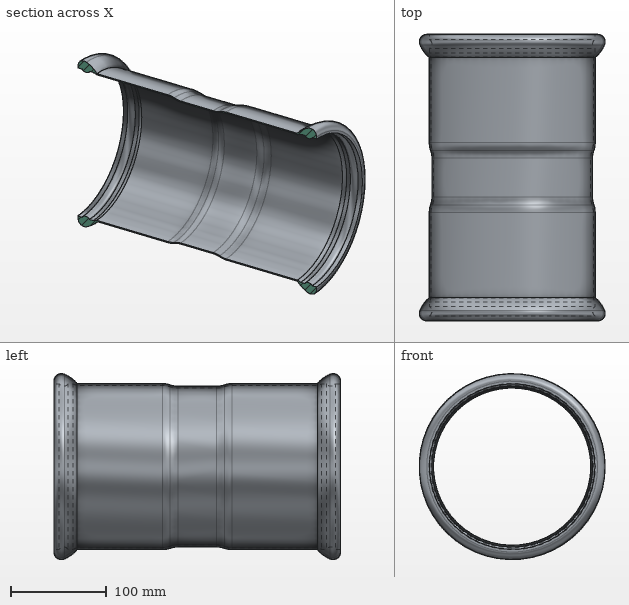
import math

import cadquery as cq

length = 300.0
outer_radius = 194.7 / 2
wall = 1.95

socket_radius = 174.0 / 2
neck_radius = 168.3 / 2
neck_half_length = 20.5
step_length = 16.2

mouth_radius = 173.0 / 2
bead_radius = 16.0 / 2
bead_length = 24.3
flare_start_angle = 23.0
mouth_depth = 19.8
mouth_taper_length = 4.2

seal_bore_radius = 168.3 / 2
seal_section_radius = 6.0
seal_depth = 10.2

half_length = length / 2
bead_center_r = outer_radius - bead_radius
bead_center_y = half_length - bead_radius
step_end = neck_half_length + step_length


def bead_point(angle):
    """Point on the bead section; angle in degrees above the radial direction."""
    turn = math.radians(angle)
    radius = bead_center_r + bead_radius * math.cos(turn)
    return (radius, bead_center_y + bead_radius * math.sin(turn))


def neck_to_socket(inset):
    """Profile from the end of the neck to the socket, moved inward by inset."""
    neck = neck_radius - inset
    socket = socket_radius - inset
    step_middle = ((neck + socket) / 2, (neck_half_length + step_end) / 2)
    rise = step_middle[0] - neck
    run = step_length / 2
    chord_angle = math.atan2(rise, run)
    step_sagitta = math.hypot(rise, run) / 2 * math.tan(chord_angle / 2)
    return (
        cq.Workplane("XY")
        .moveTo(0, neck_half_length)
        .lineTo(neck, neck_half_length)
        .sagittaArc(step_middle, step_sagitta)
        .tangentArcPoint((socket, step_end), relative=False)
    )


def revolved(profile):
    return profile.close().revolve(360, (0, 0, 0), (0, 1, 0))


def outer_body():
    profile = (
        neck_to_socket(0)
        .lineTo(socket_radius, half_length - bead_length)
        .lineTo(0, half_length - bead_length)
    )
    bead = (
        cq.Workplane("XY")
        .moveTo(0, half_length)
        .lineTo(bead_center_r, half_length)
        .threePointArc(bead_point(45), bead_point(-flare_start_angle))
        .tangentArcPoint((socket_radius, half_length - bead_length), relative=False)
        .lineTo(0, half_length - bead_length)
    )
    return revolved(profile).union(revolved(bead))


def bore():
    mouth_start = half_length - mouth_depth
    profile = (
        neck_to_socket(wall)
        .lineTo(socket_radius - wall, mouth_start - mouth_taper_length)
        .lineTo(mouth_radius, mouth_start)
        .lineTo(mouth_radius, half_length)
        .lineTo(0, half_length)
    )
    return revolved(profile)


def sealing_ring():
    section = cq.Workplane("XY").center(
        seal_bore_radius + seal_section_radius, half_length - seal_depth
    )
    axis_offset = -(seal_bore_radius + seal_section_radius)
    return section.circle(seal_section_radius).revolve(360, (axis_offset, 0, 0), (axis_offset, 1, 0))


def neck_tube():
    return (
        cq.Workplane("XZ", origin=(0, neck_half_length, 0))
        .circle(neck_radius)
        .circle(neck_radius - wall)
        .extrude(2 * neck_half_length)
    )


socket_end = outer_body().cut(bore()).union(sealing_ring())
result = neck_tube().union(socket_end).union(socket_end.mirror("XZ"))